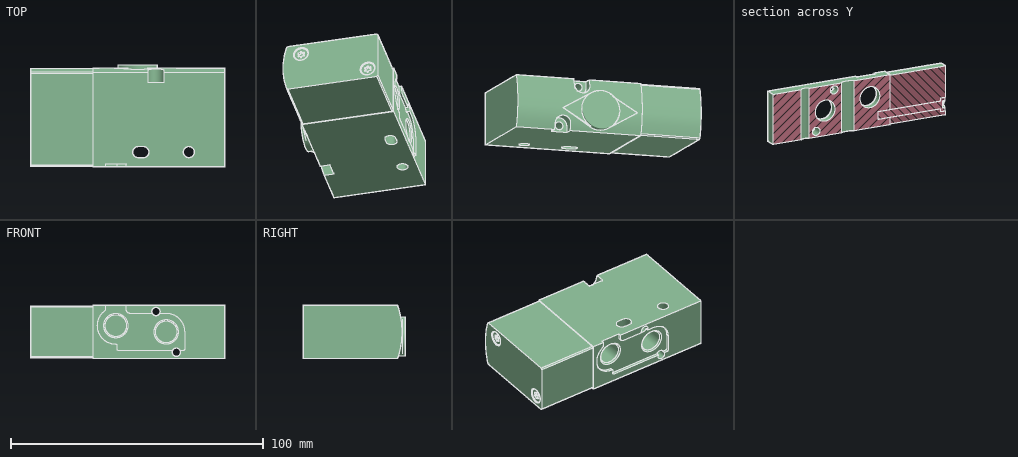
import cadquery as cq
import math

total_length = 76.95
body_height = 21.1
body_depth = 39.1
back_edge_depth = 37.4
cap_length = 24.75
cap_inset = 0.25
cap_edge_chamfer = 0.5
mid_height = body_height / 2

port_radius = 8.57 / 2
port_mouth_radius = 9.65 / 2
port_mouth_chamfer = port_mouth_radius - port_radius
port_depth = 12.0
exhaust_port = (33.75, 13.0)
supply_port = (53.7, mid_height)
recess_depth = 1.05
recess_radius = 7.35
recess_step_x = 34.25
recess_bottom = 3.2
recess_corner_radius = 0.5
vent_width = 8.1
vent_left = 29.7
vent_corner_radius = 1.6

vertical_hole_diameter = 4.3
vertical_hole_y = 5.85
vertical_hole_x = 62.65
slot_x = 43.65
slot_length = 6.35
cross_hole_radius = 3.2 / 2
cross_hole_edge = 2.5
upper_cross_hole_x = 49.65
lower_cross_hole_x = 57.7
relief_radius = 3.25
relief_floor_y = 33.45

boss_x = 42.4
boss_z = 8.72
boss_radius = 15.6 / 2
boss_end_y = 40.4
boss_edge_radius = 0.2
pad_face_y = 39.2
pad_tip_reach = boss_radius / math.cos(math.radians(60))

screw_positions = [(31.7, mid_height + 5.8), (4.5, mid_height - 5.8)]
screw_head_diameter = 5.5
screw_head_height = 2.0
screw_recess_depth = 0.3
screw_recess_chamfer = 0.3
screw_shank_diameter = 3.0
screw_length = 30.0
socket_outer_radius = 1.45
socket_root_radius = 1.0
socket_tip_half_angle = 7
socket_depth = 1.0
socket_lobes = 6


def domed_block(x_start, length, inset):
    """Block with flat sides and a domed back, its faces stepped in by the inset."""
    dome_sagitta = body_depth - back_edge_depth
    dome_radius = (mid_height**2 + dome_sagitta**2) / (2 * dome_sagitta)
    dome_center_y = body_depth - dome_radius
    half_height = mid_height - inset
    edge_y = dome_center_y + math.sqrt(dome_radius**2 - half_height**2)
    return (
        cq.Workplane("YZ", origin=(x_start, 0, 0))
        .moveTo(inset, mid_height - half_height)
        .lineTo(edge_y, mid_height - half_height)
        .threePointArc((body_depth, mid_height), (edge_y, mid_height + half_height))
        .lineTo(inset, mid_height + half_height)
        .close()
        .extrude(length)
    )


def along_y(y_start):
    """Sketch plane with X right and Z up; positive extrusion runs toward the front."""
    return cq.Workplane("XZ", origin=(0, y_start, 0))


def gasket_recess():
    port_x, port_z = exhaust_port
    supply_x, supply_z = supply_port
    vent_right = vent_left + vent_width
    vent_foot_z = port_z + math.sqrt(recess_radius**2 - (port_x - vent_left) ** 2)
    right = supply_x + recess_radius
    upper_edge = supply_z + recess_radius
    diagonal = recess_radius * math.sqrt(0.5)
    step_top = port_z - math.sqrt(recess_radius**2 - (recess_step_x - port_x) ** 2)
    recess = (
        along_y(recess_depth)
        .moveTo(vent_left, body_height)
        .lineTo(vent_left, vent_foot_z)
        .threePointArc((port_x - diagonal, port_z - diagonal), (recess_step_x, step_top))
        .lineTo(recess_step_x, recess_bottom)
        .lineTo(right, recess_bottom)
        .lineTo(right, supply_z)
        .threePointArc((supply_x + diagonal, supply_z + diagonal), (supply_x, upper_edge))
        .lineTo(vent_right, upper_edge)
        .lineTo(vent_right, body_height)
        .close()
        .extrude(recess_depth)
    )

    def edge_at(x, z):
        reach = 0.01
        return cq.selectors.BoxSelector(
            (x - reach, -1, z - reach), (x + reach, recess_depth + 1, z + reach)
        )

    small_corners = [
        (recess_step_x, step_top),
        (recess_step_x, recess_bottom),
        (right, recess_bottom),
    ]
    for x, z in small_corners:
        recess = recess.edges(edge_at(x, z)).fillet(recess_corner_radius)
    return recess.edges(edge_at(vent_right, upper_edge)).fillet(vent_corner_radius)


def port_cutter(position):
    bottom_y = recess_depth + port_depth
    bore = along_y(bottom_y).center(*position).circle(port_radius).extrude(port_depth)
    return bore.union(
        along_y(recess_depth + port_mouth_chamfer)
        .center(*position)
        .circle(port_radius)
        .workplane(offset=port_mouth_chamfer)
        .circle(port_mouth_radius)
        .loft()
    )


def vertical_holes():
    round_hole = (
        cq.Workplane("XY")
        .center(vertical_hole_x, vertical_hole_y)
        .circle(vertical_hole_diameter / 2)
        .extrude(body_height)
    )
    slot = (
        cq.Workplane("XY")
        .center(slot_x, vertical_hole_y)
        .slot2D(slot_length, vertical_hole_diameter)
        .extrude(body_height)
    )
    return round_hole.union(slot)


def cross_hole(x, z, open_z):
    """Hole from front to back with a U-shaped relief open toward the height open_z."""
    hole = along_y(body_depth).center(x, z).circle(cross_hole_radius).extrude(body_depth)
    relief_length = body_depth - relief_floor_y
    relief = along_y(body_depth).center(x, z).circle(relief_radius).extrude(relief_length)
    opening = (
        along_y(body_depth)
        .center(x, (z + open_z) / 2)
        .rect(2 * relief_radius, abs(open_z - z))
        .extrude(relief_length)
    )
    return hole.union(relief).union(opening)


def back_boss():
    """Round port boss standing on a flat pad whose sides run tangent to the boss."""
    root_depth = back_edge_depth - 1
    boss = (
        along_y(boss_end_y)
        .center(boss_x, boss_z)
        .circle(boss_radius)
        .extrude(boss_end_y - root_depth)
        .faces(">Y")
        .edges()
        .fillet(boss_edge_radius)
    )
    for tip_offset in (-pad_tip_reach, pad_tip_reach):
        tangent_x = boss_radius**2 / tip_offset
        tangent_z = math.sqrt(boss_radius**2 - tangent_x**2)
        wing = (
            along_y(pad_face_y)
            .center(boss_x, boss_z)
            .polyline([(tangent_x, -tangent_z), (tip_offset, 0), (tangent_x, tangent_z)])
            .close()
            .extrude(pad_face_y - root_depth)
        )
        boss = boss.union(wing)
    return boss


def screw_space(position):
    """Space taken by a screw's head and shank, from under the recess to the tip."""
    head = (
        cq.Workplane("YZ", origin=(screw_recess_depth, 0, 0))
        .center(*position)
        .circle(screw_head_diameter / 2)
        .extrude(screw_head_height)
    )
    shank = (
        cq.Workplane("YZ", origin=(screw_recess_depth, 0, 0))
        .center(*position)
        .circle(screw_shank_diameter / 2)
        .extrude(screw_length - screw_recess_depth)
    )
    return head.union(shank)


def screw_recess(position):
    """Flared opening in the cap's end face above a screw head."""
    return (
        cq.Workplane("YZ")
        .center(*position)
        .circle(screw_head_diameter / 2 + screw_recess_chamfer)
        .workplane(offset=screw_recess_depth)
        .circle(screw_head_diameter / 2)
        .loft()
    )


def star_socket(position):
    """Six-lobed socket: short round tips joined by hollow arcs."""
    lobe_angle = 360 / socket_lobes

    def polar(radius, angle):
        turn = math.radians(angle)
        return (radius * math.cos(turn), radius * math.sin(turn))

    first_tip = 90
    outline = (
        cq.Workplane("YZ", origin=(screw_recess_depth, 0, 0))
        .center(*position)
        .moveTo(*polar(socket_outer_radius, first_tip - socket_tip_half_angle))
    )
    for lobe in range(socket_lobes):
        tip = first_tip + lobe * lobe_angle
        next_tip = tip + lobe_angle
        outline = outline.threePointArc(
            polar(socket_outer_radius, tip),
            polar(socket_outer_radius, tip + socket_tip_half_angle),
        ).threePointArc(
            polar(socket_root_radius, tip + lobe_angle / 2),
            polar(socket_outer_radius, next_tip - socket_tip_half_angle),
        )
    return outline.close().extrude(socket_depth)


def valve_body():
    body = domed_block(cap_length, total_length - cap_length, 0)
    body = body.union(back_boss())
    body = body.cut(gasket_recess())
    for port in (exhaust_port, supply_port):
        body = body.cut(port_cutter(port))
    body = body.cut(vertical_holes())
    body = body.cut(cross_hole(upper_cross_hole_x, body_height - cross_hole_edge, body_height))
    body = body.cut(cross_hole(lower_cross_hole_x, cross_hole_edge, 0))
    for position in screw_positions:
        body = body.cut(screw_space(position))
    return body


def end_cap():
    cap = domed_block(0, cap_length, cap_inset).edges("|X").chamfer(cap_edge_chamfer)
    for position in screw_positions:
        cap = cap.cut(screw_recess(position)).cut(screw_space(position))
    return cap


def cap_screw(position):
    return screw_space(position).cut(star_socket(position))


body = valve_body()
cap = end_cap()
screws = [cap_screw(position) for position in screw_positions]

result = cq.Compound.makeCompound(
    [body.val(), cap.val(), *[screw.val() for screw in screws]]
)